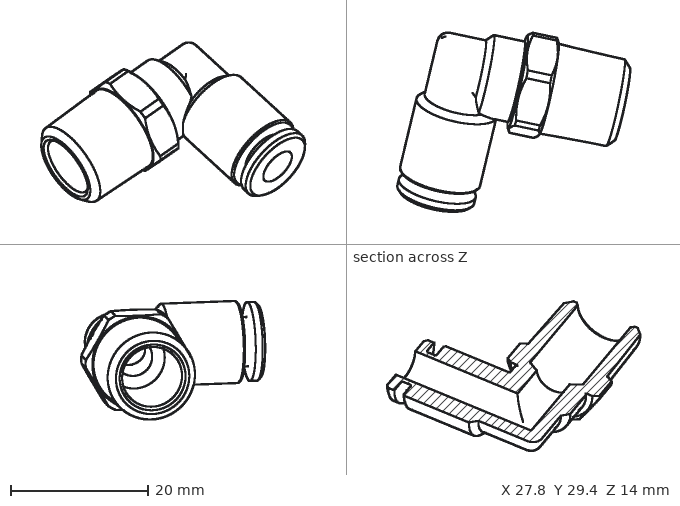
import cadquery as cq
import math


pipe_radius = 5.0
corner_radius = 1.5
corner_steps = 8
bore_radius = 2.75
collar_radius = 6.0
edge_break = 0.25

collar_start = 2.0
collar_chamfer = collar_radius - pipe_radius
hex_top = 7.82
hex_bottom = 12.45
stem_end = 23.4

hex_sides = 6
hex_across_flats = 14.0
hex_corner_radius = 7.75
hex_face_radius = 6.88
hex_chamfer_height = 0.53

thread_radius_at_hex = 6.7
thread_radius_at_tip = 6.47
tip_chamfer = 1.03
socket_radius = 4.45
socket_chamfer = 0.45
socket_depth = 14.1
socket_cone_half_angle = 60
socket_cone_height = (socket_radius - bore_radius) / math.tan(math.radians(socket_cone_half_angle))

sleeve_start = 4.85
sleeve_end = 17.02
ring_start = 18.58
branch_end = 20.08
neck_radius = 3.6
neck_fillet = 0.25
ring_radius = 5.75
ring_chamfer = 0.47


def turned_on_stem(profile):
    """Revolve (radius, distance) points about the stem axis."""
    points = [(radius, -distance) for radius, distance in profile]
    return cq.Workplane("XY").polyline(points).close().revolve(360, (0, 0, 0), (0, 1, 0))


def corner_rib(angle):
    """Half ellipse joining the bottom and top poles, at one angle round the corner arc."""
    arc_center = pipe_radius - corner_radius
    x = -arc_center - corner_radius * math.cos(angle)
    y = arc_center + corner_radius * math.sin(angle)
    reach = math.hypot(x, y)
    normal = cq.Vector(y / reach, -x / reach, 0)
    outward = cq.Vector(x / reach, y / reach, 0)
    return cq.Edge.makeEllipse(reach, pipe_radius, cq.Vector(), normal, outward, -90, 90)


def make_corner():
    """Wedge with a rounded back whose rounding shrinks to nothing at the two poles."""
    ribs = [corner_rib(math.pi / 2 * i / corner_steps) for i in range(corner_steps + 1)]
    back = cq.occ_impl.shapes.loft(*ribs)
    axis = cq.Edge.makeLine(cq.Vector(0, 0, -pipe_radius), cq.Vector(0, 0, pipe_radius))
    sides = [
        cq.Face.makeFromWires(cq.Wire.assembleEdges([rib, axis]))
        for rib in (ribs[0], ribs[-1])
    ]
    return cq.Workplane(cq.Solid.makeSolid(cq.Shell.makeShell([*back.Faces(), *sides])))


def make_elbow():
    """Two pipes, each cut obliquely where it meets the rounded corner wedge."""
    stem_pipe = cq.Workplane("XZ", origin=(0, pipe_radius, 0)).circle(pipe_radius)
    stem_pipe = stem_pipe.extrude(pipe_radius + hex_top)
    branch_pipe = cq.Workplane("YZ", origin=(-pipe_radius, 0, 0)).circle(pipe_radius)
    branch_pipe = branch_pipe.extrude(pipe_radius + sleeve_start)

    far = 2 * hex_top
    cut_height = far * (pipe_radius - corner_radius) / pipe_radius
    stem_side = [(0, 0), (-far, cut_height), (-far, -far), (far, -far), (far, 0)]
    branch_side = [(-y, -x) for x, y in stem_side]

    def trim(pipe, outline):
        block = cq.Workplane("XY").polyline(outline).close().extrude(collar_radius, both=True)
        return pipe.intersect(block)

    elbow = trim(stem_pipe, stem_side).union(trim(branch_pipe, branch_side))
    return elbow.union(make_corner())


def make_collar():
    return turned_on_stem([
        (0, collar_start),
        (pipe_radius, collar_start),
        (collar_radius, collar_start + collar_chamfer),
        (collar_radius, hex_top - edge_break),
        (collar_radius - edge_break, hex_top),
        (0, hex_top),
    ])


def make_hexagon():
    """Hexagon with corners turned round and both faces chamfered by a cone."""
    across_corners = hex_across_flats / math.cos(math.pi / hex_sides)
    prism = cq.Workplane("XZ", origin=(0, -hex_top, 0)).polygon(hex_sides, across_corners)
    prism = prism.extrude(hex_bottom - hex_top)
    envelope = turned_on_stem([
        (0, hex_top),
        (hex_face_radius, hex_top),
        (hex_corner_radius, hex_top + hex_chamfer_height),
        (hex_corner_radius, hex_bottom - hex_chamfer_height),
        (hex_face_radius, hex_bottom),
        (0, hex_bottom),
    ])
    return prism.intersect(envelope)


def make_thread():
    return turned_on_stem([
        (0, hex_bottom),
        (thread_radius_at_hex, hex_bottom),
        (thread_radius_at_tip, stem_end - tip_chamfer),
        (thread_radius_at_tip - tip_chamfer, stem_end),
        (0, stem_end),
    ])


def make_branch():
    """Sleeve, neck and release ring turned about the branch axis."""
    profile = (
        cq.Workplane("XY")
        .moveTo(sleeve_start, 0)
        .lineTo(sleeve_start, pipe_radius)
        .lineTo(sleeve_start + collar_chamfer, collar_radius)
        .lineTo(sleeve_end - edge_break, collar_radius)
        .lineTo(sleeve_end, collar_radius - edge_break)
        .lineTo(sleeve_end, neck_radius)
        .lineTo(ring_start - neck_fillet, neck_radius)
        .radiusArc((ring_start, neck_radius + neck_fillet), -neck_fillet)
        .lineTo(ring_start, ring_radius)
        .lineTo(branch_end - ring_chamfer, ring_radius)
        .lineTo(branch_end, ring_radius - ring_chamfer)
        .lineTo(branch_end, 0)
        .close()
    )
    return profile.revolve(360, (0, 0, 0), (1, 0, 0))


def make_passage():
    """Stepped stem socket leading through the elbow into the branch bore."""
    socket_floor = stem_end - socket_depth
    socket = turned_on_stem([
        (0, stem_end),
        (socket_radius + socket_chamfer, stem_end),
        (socket_radius, stem_end - socket_chamfer),
        (socket_radius, socket_floor),
        (bore_radius, socket_floor - socket_cone_height),
        (0, socket_floor - socket_cone_height),
    ])
    stem_bore = cq.Workplane("XZ").circle(bore_radius).extrude(stem_end)
    branch_bore = cq.Workplane("YZ").circle(bore_radius).extrude(branch_end)
    overlap = 2 * bore_radius
    stem_tip = cq.Workplane("XZ", origin=(0, bore_radius, 0)).circle(bore_radius).extrude(overlap)
    branch_tip = cq.Workplane("YZ", origin=(-bore_radius, 0, 0)).circle(bore_radius).extrude(overlap)
    return socket.union(stem_bore).union(branch_bore).union(stem_tip.intersect(branch_tip))


body = make_elbow()
for section in (make_collar(), make_hexagon(), make_thread(), make_branch()):
    body = body.union(section)
result = body.cut(make_passage())